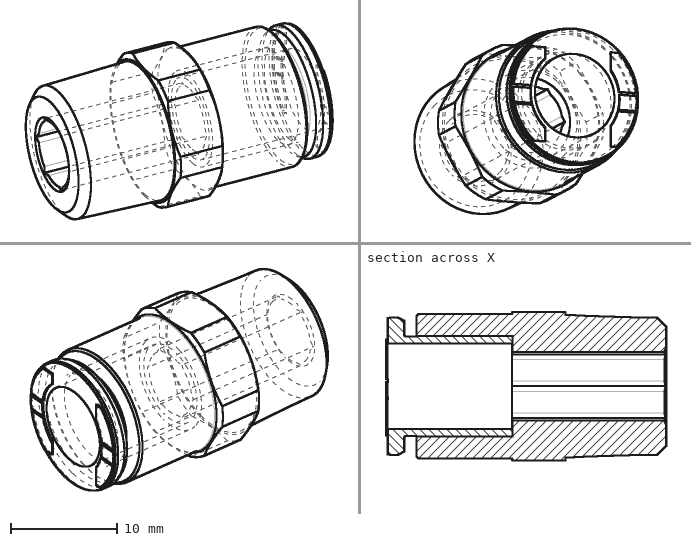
import cadquery as cq
import math


hex_start = 9.49
hex_end = 14.5
barrel_end = 23.5
flange_start = 24.65
flange_end = 26.2
total_length = 26.35

thread_root_radius = 6.75
thread_taper = 1 / 32
thread_chamfer = 0.87

hex_across_flats = 14.0
hex_corner_diameter = 15.0
hex_corner_radius = hex_corner_diameter / 2
hex_chamfer_angle = 30
hex_chamfer_height = 0.32

barrel_diameter = 13.62
barrel_radius = barrel_diameter / 2
barrel_chamfer = 0.2
barrel_root_fillet = 0.13

socket_bore_radius = 3.21
socket_across_flats = 6.0
socket_mouth_radius = 3.6
socket_mouth_depth = 0.18

neck_radius = 4.7
neck_fillet = 0.18
tube_bore_radius = 4.0
flange_radius = 6.48
flange_rear_chamfer_height = 0.25
flange_rear_chamfer_depth = 0.08
flange_front_chamfer_height = 0.58
flange_front_chamfer_depth = 0.32

pad_inner_radius = 4.48
pad_outer_radius = 6.22
pad_left_edge = -3.58
pad_right_edge = 3.0
pad_z_ranges = [(-4.65, -1.2), (-1.05, 0.4), (0.65, 4.4)]


def cylinder(radius, start, end):
    """Solid cylinder on the Y axis from y = start to y = end."""
    return cq.Workplane("XZ", origin=(0, start, 0)).circle(radius).extrude(start - end)


def hex_prism(across_flats, start, end):
    """Hexagonal prism on the Y axis with two corners on the X axis."""
    across_corners = across_flats / math.cos(math.radians(30))
    return cq.Workplane("XZ", origin=(0, start, 0)).polygon(6, across_corners).extrude(start - end)


def revolved(outline):
    """Revolve a closed (radius, y) outline about the Y axis."""
    return outline.close().revolve(360, (0, 0, 0), (0, 1, 0))


def make_thread():
    chamfer_radius = thread_root_radius - thread_taper * (hex_start - thread_chamfer)
    return revolved(
        cq.Workplane("XY")
        .moveTo(0, 0)
        .lineTo(chamfer_radius - thread_chamfer, 0)
        .lineTo(chamfer_radius, thread_chamfer)
        .lineTo(thread_root_radius, hex_start)
        .lineTo(0, hex_start)
    )


def make_hexagon():
    """Hexagon with turned corners and a conical chamfer at both ends."""
    face_radius = hex_corner_radius - hex_chamfer_height / math.tan(math.radians(hex_chamfer_angle))
    turned_blank = revolved(
        cq.Workplane("XY")
        .moveTo(0, hex_start)
        .lineTo(face_radius, hex_start)
        .lineTo(hex_corner_radius, hex_start + hex_chamfer_height)
        .lineTo(hex_corner_radius, hex_end - hex_chamfer_height)
        .lineTo(face_radius, hex_end)
        .lineTo(0, hex_end)
    )
    return turned_blank.intersect(hex_prism(hex_across_flats, hex_start, hex_end))


def make_barrel():
    return revolved(
        cq.Workplane("XY")
        .moveTo(0, hex_end)
        .lineTo(barrel_radius + barrel_root_fillet, hex_end)
        .radiusArc((barrel_radius, hex_end + barrel_root_fillet), barrel_root_fillet)
        .lineTo(barrel_radius, barrel_end - barrel_chamfer)
        .lineTo(barrel_radius - barrel_chamfer, barrel_end)
        .lineTo(0, barrel_end)
    )


def make_socket():
    """Cutter for the hexagon socket and its conical mouth."""
    mouth = revolved(
        cq.Workplane("XY")
        .moveTo(0, 0)
        .lineTo(socket_mouth_radius, 0)
        .lineTo(socket_bore_radius, socket_mouth_depth)
        .lineTo(0, socket_mouth_depth)
    )
    bore = cylinder(socket_bore_radius, 0, hex_end)
    return bore.union(hex_prism(socket_across_flats, 0, hex_end)).union(mouth)


def make_housing():
    """Threaded stud, hexagon and barrel, with a recess that holds the sleeve."""
    sleeve_recess = cylinder(neck_radius, hex_end, barrel_end)
    housing = make_thread().union(make_hexagon()).union(make_barrel())
    return housing.cut(make_socket()).cut(sleeve_recess)


def make_pads():
    """Raised pads on the left and right of the flange's rear face."""
    pad_height = total_length - flange_end
    ring = cylinder(pad_outer_radius, flange_end, total_length)
    ring = ring.cut(cylinder(pad_inner_radius, flange_end, total_length))
    side_ranges = [(-pad_outer_radius, pad_left_edge), (pad_right_edge, pad_outer_radius)]
    windows = cq.Workplane("XY")
    for x_start, x_end in side_ranges:
        for z_start, z_end in pad_z_ranges:
            window = cq.Workplane("XY").box(
                x_end - x_start, pad_height, z_end - z_start, centered=False
            )
            windows = windows.add(window.translate((x_start, flange_end, z_start)))
    return windows.combine().intersect(ring)


def make_release_sleeve():
    """Flanged sleeve with the tube bore; its neck runs to the bottom of the recess."""
    front_face_radius = flange_radius - flange_front_chamfer_depth
    sleeve = revolved(
        cq.Workplane("XY")
        .moveTo(tube_bore_radius, hex_end)
        .lineTo(neck_radius, hex_end)
        .lineTo(neck_radius, flange_start - neck_fillet)
        .radiusArc((neck_radius + neck_fillet, flange_start), neck_fillet)
        .lineTo(front_face_radius, flange_start)
        .lineTo(flange_radius, flange_start + flange_front_chamfer_height)
        .lineTo(flange_radius, flange_end - flange_rear_chamfer_height)
        .lineTo(flange_radius - flange_rear_chamfer_depth, flange_end)
        .lineTo(tube_bore_radius, flange_end)
    )
    return sleeve.union(make_pads())


housing = make_housing()
release_sleeve = make_release_sleeve()

result = cq.Compound.makeCompound([housing.val(), release_sleeve.val()])